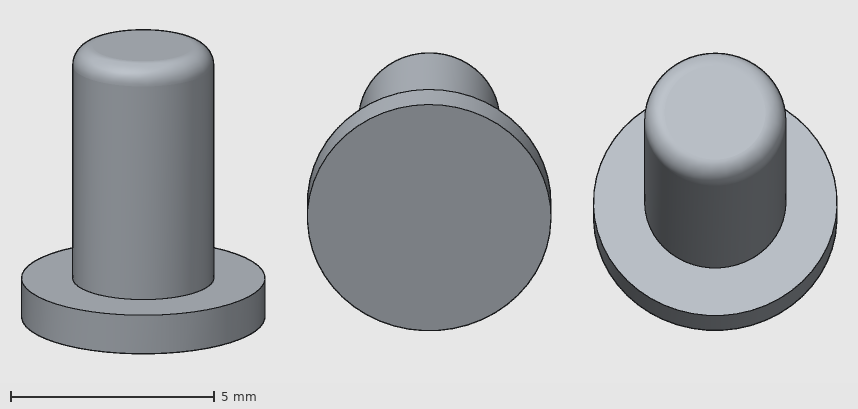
import cadquery as cq

total_height = 7.0
flange_diameter = 6.0
flange_thickness = 1.0
pin_diameter = 3.48
tip_radius = 0.5

flange = cq.Workplane("XY").circle(flange_diameter / 2).extrude(flange_thickness)

pin = (
    cq.Workplane("XY")
    .circle(pin_diameter / 2)
    .extrude(total_height)
    .faces(">Z")
    .edges()
    .fillet(tip_radius)
)

result = flange.union(pin)